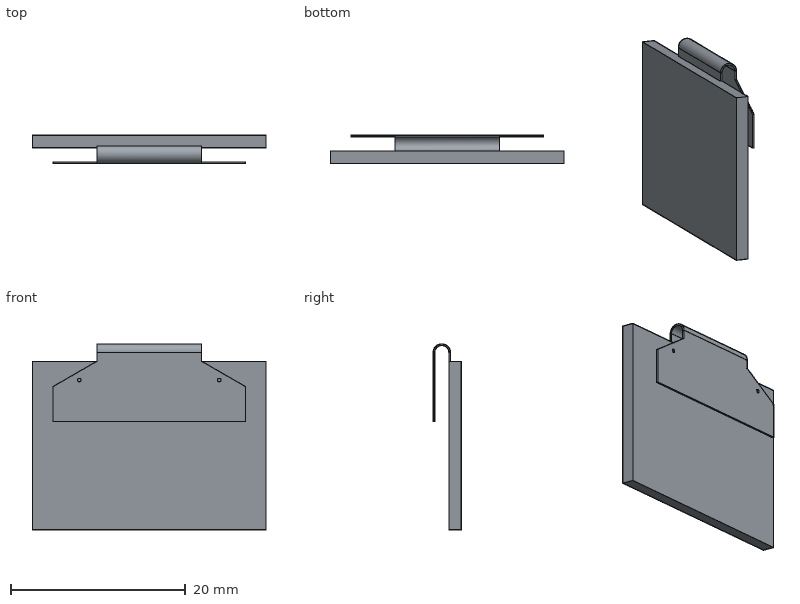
import cadquery as cq
import math

panel_width = 26.7
panel_height = 19.26
panel_thickness = 1.45

flex_thickness = 0.2
flex_width = 12.0
bend_outer_radius = 1.0
bend_inner_radius = bend_outer_radius - flex_thickness
leg_height = 1.0

tail_width = 22.0
tail_side_height = 4.0
shoulder_angle = 30.0
hole_diameter = 0.4
hole_spacing = 16.0
hole_drop = 2.137

tail_front_y = 0.0
bend_center_y = tail_front_y + bend_outer_radius
panel_front_y = bend_center_y + bend_inner_radius
bend_center_z = panel_height + leg_height


def plate(width, thickness, height, front_y, bottom_z):
    """Upright rectangular plate centred on X."""
    return (
        cq.Workplane("XY")
        .box(width, thickness, height, centered=(True, False, False))
        .translate((0, front_y, bottom_z))
    )


def make_panel():
    return plate(panel_width, panel_thickness, panel_height, panel_front_y, 0)


def make_inner_leg():
    """Short strip that rises from the top edge of the panel to the bend."""
    return plate(flex_width, flex_thickness, leg_height, panel_front_y, panel_height)


def make_bend():
    """Half tube that turns the cable over from the inner leg to the tail."""
    return (
        cq.Workplane("YZ", origin=(-flex_width / 2, bend_center_y, bend_center_z))
        .moveTo(-bend_outer_radius, 0)
        .threePointArc((0, bend_outer_radius), (bend_outer_radius, 0))
        .lineTo(bend_inner_radius, 0)
        .threePointArc((0, bend_inner_radius), (-bend_inner_radius, 0))
        .close()
        .extrude(flex_width)
    )


def make_tail():
    """Flat tail with a neck, sloping shoulders and two locating holes."""
    neck_x = flex_width / 2
    side_x = tail_width / 2
    shoulder_drop = (side_x - neck_x) * math.tan(math.radians(shoulder_angle))
    shoulder_z = panel_height - shoulder_drop
    tail_bottom_z = shoulder_z - tail_side_height
    tail_back = cq.Workplane("XZ", origin=(0, tail_front_y + flex_thickness, 0))
    outline = [
        (-neck_x, bend_center_z),
        (neck_x, bend_center_z),
        (neck_x, panel_height),
        (side_x, shoulder_z),
        (side_x, tail_bottom_z),
        (-side_x, tail_bottom_z),
        (-side_x, shoulder_z),
        (-neck_x, panel_height),
    ]
    hole_z = panel_height - hole_drop
    holes = (
        tail_back.pushPoints([(side * hole_spacing / 2, hole_z) for side in (-1, 1)])
        .circle(hole_diameter / 2)
        .extrude(flex_thickness)
    )
    return tail_back.polyline(outline).close().extrude(flex_thickness).cut(holes)


panel = make_panel()
inner_leg = make_inner_leg()
bend = make_bend()
tail = make_tail()

result = cq.Compound.makeCompound([panel.val(), inner_leg.val(), bend.val(), tail.val()])